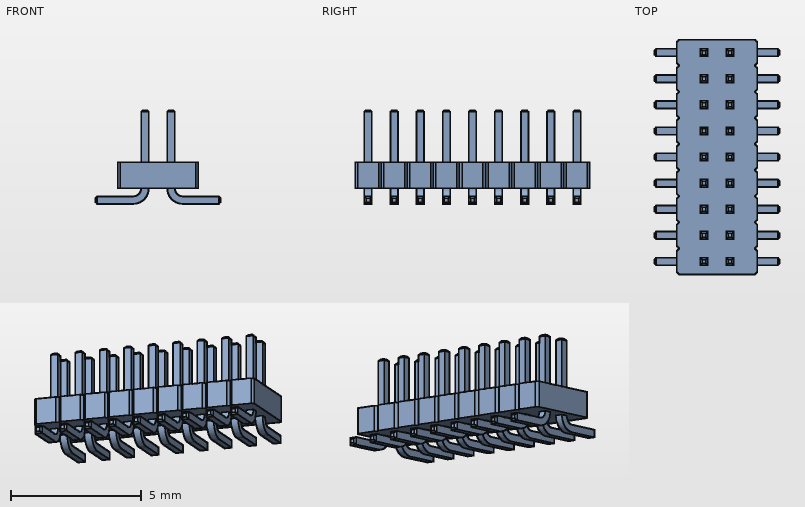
import cadquery as cq


length = 9.0
foot_span = 4.8
overall_height = 3.6

pins_per_row = 9
pitch = length / pins_per_row
body_width = 3.1
body_height = 1.0
notch_depth = 0.1

row_offset = pitch / 2
pin_width = 0.3
bend_inner_radius = 0.31
bend_outer_radius = bend_inner_radius + pin_width
body_bottom = bend_outer_radius
tip_width = pin_width / 2
tip_length = (pin_width - tip_width) / 2

pin_inner_face = row_offset - pin_width / 2
pin_outer_face = row_offset + pin_width / 2
bend_end = pin_inner_face + bend_outer_radius
bend_center_z = bend_outer_radius
foot_shoulder = foot_span / 2 - tip_length
pin_shoulder = overall_height - tip_length


def make_body():
    """Housing block with V notches between the pin positions and matching corner chamfers."""
    body = (
        cq.Workplane("XY")
        .box(body_width, length, body_height, centered=(True, True, False))
        .edges("|Z")
        .chamfer(notch_depth)
    )
    notch_places = [
        (side * body_width / 2, -length / 2 + index * pitch)
        for side in (-1, 1)
        for index in range(1, pins_per_row)
    ]
    notches = (
        cq.Workplane("XY")
        .pushPoints(notch_places)
        .polygon(4, 2 * notch_depth)
        .extrude(body_height)
    )
    return body.cut(notches).translate((0, 0, body_bottom))


def make_tip(plane):
    """Square taper from the full pin section to its blunt end."""
    return (
        cq.Workplane(plane)
        .rect(pin_width, pin_width)
        .workplane(offset=tip_length)
        .rect(tip_width, tip_width)
        .loft(ruled=True)
    )


def make_pin():
    """Pin on the +X row: upright post, quarter bend and foot pointing to +X."""
    bar = (
        cq.Workplane("XZ")
        .moveTo(pin_inner_face, pin_shoulder)
        .lineTo(pin_inner_face, bend_center_z)
        .radiusArc((bend_end, 0), -bend_outer_radius)
        .lineTo(foot_shoulder, 0)
        .lineTo(foot_shoulder, pin_width)
        .lineTo(bend_end, pin_width)
        .radiusArc((pin_outer_face, bend_center_z), bend_inner_radius)
        .lineTo(pin_outer_face, pin_shoulder)
        .close()
        .extrude(pin_width / 2, both=True)
    )
    post_tip = make_tip("XY").translate((row_offset, 0, pin_shoulder))
    foot_tip = make_tip("YZ").translate((foot_shoulder, 0, pin_width / 2))
    return bar.union(post_tip).union(foot_tip)


right_pin = make_pin()
left_pin = right_pin.mirror("YZ")

result = make_body()
for index in range(pins_per_row):
    pin_y = -length / 2 + (index + 0.5) * pitch
    for pin in (left_pin, right_pin):
        result = result.union(pin.translate((0, pin_y, 0)))